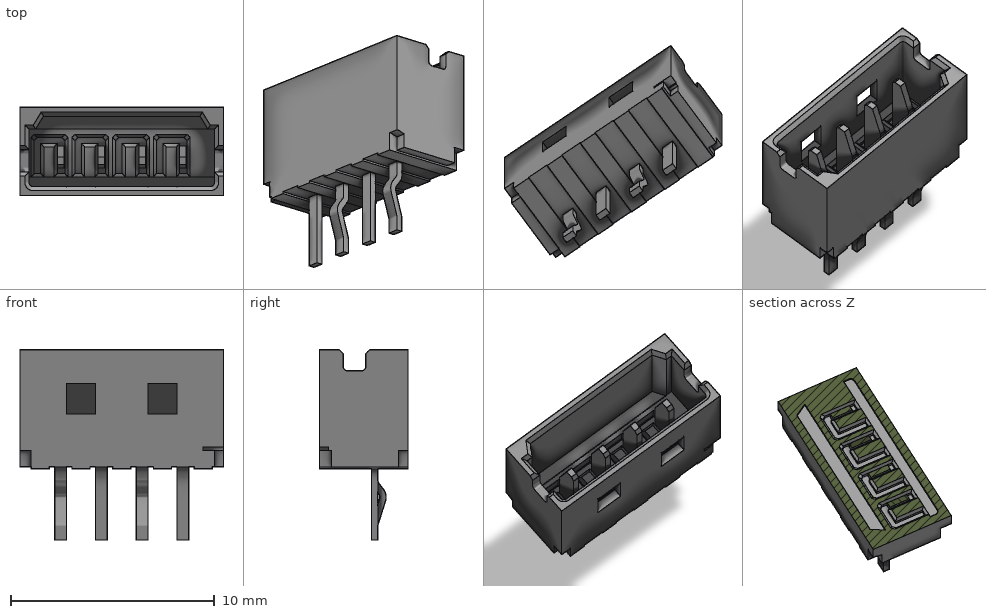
import cadquery as cq
import math


length = 10.0
width = 4.35
height = 5.85
skirt_bottom = 0.9
foot_height = 0.1

pitch = 2.0
pin_count = 4
pin_centres = [pitch * (i + 1) for i in range(pin_count)]
kinked_centres = pin_centres[0::2]
straight_centres = pin_centres[1::2]

wall = 0.45
rim_chamfer = 0.2
plateau_top = 1.63
plateau_height = 0.1
floor = plateau_top - plateau_height
plateau_front = 0.93
shoulder_y = 3.27
key_start_x = 0.77
key_end_x = 1.16
front_corner_radius = 0.2

notch_centre_y = 1.72
notch_width = 1.1
notch_depth = 1.03
notch_chamfer = 0.2
notch_radius = 0.2

window_centres = [3.0, 7.0]
window_width = 1.42
window_height = 1.5
window_bottom = 2.7

base_plate_start = 0.55
base_plate_end = 9.55
base_core_front = 0.6
base_core_back = 3.87
feet_end = 9.45
foot_gap = 1.1
mark_length = 1.0
mark_height = 0.18
mark_depth = wall
wedge_back = 4.2
wedge_height = 0.1

pocket_left = 1.45
pocket_right = 0.36
pocket_back = 3.01
pocket_depth = 0.3
pocket_chamfer = 0.15
pocket_corner = 0.15
rib_width = 0.82
rib_back = 2.56
rib_chamfer = 0.16

metal = 0.32
tail_width = 0.6
tail_front = 2.55
tail_back = tail_front + metal
tail_tip = -3.5
blade_front = 1.35
blade_back = 2.44
blade_recess = 1.03
blade_top = height - blade_recess
blade_tip_front = 1.53
blade_tip_back = 1.91
blade_lead_in = blade_tip_front - blade_front
blade_taper_height = 1.5
blade_taper_bottom = blade_top - blade_taper_height
pin_root_bottom = 0.4
pin_root_top = 1.0

kink_start_z = -0.75
kink_peak_z = -1.33
kink_end_z = -2.73
kink_offset = 0.44
end_bend_radius = 0.6
peak_bend_radius = 0.31


def block(x0, x1, y0, y1, z0, z1):
    """Axis-aligned box between two opposite corners."""
    return cq.Workplane("XY").box(x1 - x0, y1 - y0, z1 - z0, centered=False).translate((x0, y0, z0))


def side_profile(points, x0, x1):
    """Prism along X from a closed outline of (y, z) points."""
    return cq.Workplane("YZ").workplane(offset=x0).polyline(points).close().extrude(x1 - x0)


def base():
    core = block(0, length, base_core_front, base_core_back, foot_height, skirt_bottom)
    plates = block(base_plate_start, base_plate_end, 0, width, foot_height, skirt_bottom)
    feet = block(base_plate_start, feet_end, 0, width, 0, foot_height)
    for x in pin_centres:
        feet = feet.cut(block(x - foot_gap / 2, x + foot_gap / 2, 0, width, 0, foot_height))
    wedge = side_profile(
        [
            (base_core_back, skirt_bottom),
            (wedge_back, skirt_bottom),
            (base_core_back, skirt_bottom - wedge_height),
        ],
        0,
        base_plate_start,
    )
    return core.union(plates).union(feet).union(wedge)


def cavity():
    """Cavity void with its key channel at the back."""
    outline = [
        (wall, wall),
        (length - wall, wall),
        (length - wall, shoulder_y),
        (length - key_start_x, shoulder_y),
        (length - key_end_x, width - wall),
        (key_end_x, width - wall),
        (key_start_x, shoulder_y),
        (wall, shoulder_y),
    ]
    void = cq.Workplane("XY").workplane(offset=floor).polyline(outline).close().extrude(height - floor)
    return void.edges("|Z").edges("<Y").fillet(front_corner_radius)


def chamfer_rim(body):
    """Chamfer the inner edges of the open top."""
    rim = body.faces(">Z").val().innerWires()[0]
    return body.newObject(rim.Edges()).chamfer(rim_chamfer)


def end_notches():
    """Notch with a flared mouth and rounded floor, running through both end walls."""
    half = notch_width / 2
    bottom = height - notch_depth
    slot = block(0, length, notch_centre_y - half, notch_centre_y + half, bottom, height)
    slot = slot.edges("|X").edges("<Z").fillet(notch_radius)
    mouth = half + notch_chamfer
    flare = side_profile(
        [
            (notch_centre_y - mouth, height),
            (notch_centre_y + mouth, height),
            (notch_centre_y + half, height - notch_chamfer),
            (notch_centre_y - half, height - notch_chamfer),
        ],
        0,
        length,
    )
    return slot.union(flare)


def pocket_outline(x, inset, z):
    """Pocket rectangle at height z, drawn in by inset, with its two back corners cut off."""
    left = x - pocket_left + inset
    right = x + pocket_right - inset
    front = plateau_front + inset
    back = pocket_back - inset
    outline = [
        (left, front),
        (right, front),
        (right, back - pocket_corner),
        (right - pocket_corner, back),
        (left + pocket_corner, back),
        (left, back - pocket_corner),
    ]
    return cq.Workplane("XY").workplane(offset=z).polyline(outline).close()


def pocket(x):
    """Recess in the plateau around the pin centred on x, with a sloping mouth."""
    mouth_bottom = plateau_top - pocket_chamfer
    lower_wire = pocket_outline(x, pocket_chamfer, mouth_bottom).val()
    upper_wire = pocket_outline(x, 0, plateau_top).val()
    mouth = cq.Solid.makeLoft([lower_wire, upper_wire], True)
    recess = pocket_outline(x, pocket_chamfer, mouth_bottom).extrude(pocket_chamfer - pocket_depth)
    return recess.union(cq.Workplane(mouth))


def rib(x):
    """Chamfered rib standing in the pocket against the -X side of the pin."""
    right = x - metal / 2
    bar = block(right - rib_width, right, plateau_front, rib_back, plateau_top - pocket_depth, plateau_top)
    return bar.faces(">Z").edges("<X or >X or >Y").chamfer(rib_chamfer)


def pin_head(x):
    """Upright tapered blade with the root that carries the tail."""
    outline = [
        (blade_front, pin_root_bottom),
        (tail_back, pin_root_bottom),
        (tail_back, pin_root_top),
        (blade_back, pin_root_top),
        (blade_back, blade_taper_bottom),
        (blade_tip_back, blade_top),
        (blade_tip_front, blade_top),
        (blade_front, blade_top - blade_lead_in),
    ]
    return side_profile(outline, x - metal / 2, x + metal / 2)


def straight_pin(x):
    half = tail_width / 2
    tail = block(x - half, x + half, tail_front, tail_back, tail_tip, pin_root_top)
    return pin_head(x).union(tail)


def kinked_pin(x):
    """Pin whose tail bows toward +Y, with constant sheet thickness through the bends."""
    half = tail_width / 2
    upper_angle = math.atan2(kink_offset, kink_start_z - kink_peak_z)
    lower_angle = math.atan2(kink_offset, kink_peak_z - kink_end_z)
    upper_shift = metal * math.tan(upper_angle / 2)
    lower_shift = metal * math.tan(lower_angle / 2)
    half_turn = (upper_angle + lower_angle) / 2
    peak_tilt = (upper_angle - lower_angle) / 2
    peak_mitre = metal / math.cos(half_turn)
    front = [
        (tail_front, kink_start_z),
        (tail_front + kink_offset, kink_peak_z),
        (tail_front, kink_end_z),
    ]
    back = [
        (tail_back, kink_start_z + upper_shift),
        (
            tail_front + kink_offset + peak_mitre * math.cos(peak_tilt),
            kink_peak_z + peak_mitre * math.sin(peak_tilt),
        ),
        (tail_back, kink_end_z - lower_shift),
    ]
    outline = [(tail_front, pin_root_top), *front, (tail_front, tail_tip)]
    outline += [(tail_back, tail_tip), *reversed(back), (tail_back, pin_root_top)]
    tail = side_profile(outline, x - half, x + half)
    front_radii = [end_bend_radius, peak_bend_radius, end_bend_radius]
    back_radii = [end_bend_radius - metal, peak_bend_radius + metal, end_bend_radius - metal]
    for (y, z), radius in zip(front + back, front_radii + back_radii):
        tail = tail.edges(cq.selectors.NearestToPointSelector((x, y, z))).fillet(radius)
    return pin_head(x).union(tail)


def housing_shell():
    body = block(0, length, 0, width, skirt_bottom, height).union(base())
    body = chamfer_rim(body.cut(cavity())).cut(end_notches())
    plateau = block(wall, length - wall, plateau_front, shoulder_y, floor, plateau_top)
    body = body.union(plateau)
    for x in window_centres:
        half = window_width / 2
        body = body.cut(
            block(x - half, x + half, 0, wall, window_bottom, window_bottom + window_height)
        )
    body = body.cut(
        block(length - mark_length, length, 0, mark_depth, skirt_bottom, skirt_bottom + mark_height)
    )
    for x in pin_centres:
        body = body.cut(pocket(x)).union(rib(x))
    return body


kinked_pins = [kinked_pin(x) for x in kinked_centres]
housing = housing_shell()
for x in straight_centres:
    housing = housing.union(straight_pin(x))
for pin in kinked_pins:
    housing = housing.cut(pin)

result = cq.Compound.makeCompound([housing.val(), *[pin.val() for pin in kinked_pins]])